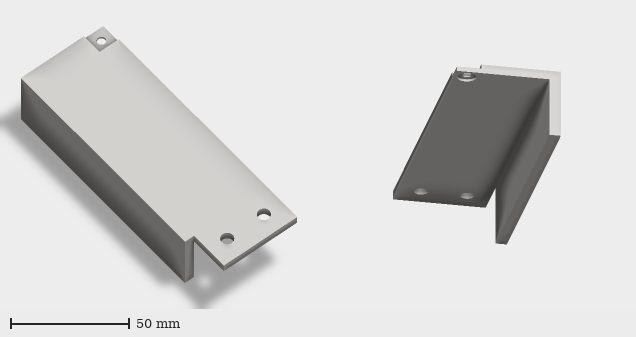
import cadquery as cq

length = 130.0
width = 45.0
height = 30.0

plate_thickness = 4.0
wall_thickness = 5.0
tab_length = 20.0
wall_length = length - tab_length

mount_diameter = 6.0
mount_spacing = 20.0
mount_back_offset = 10.0
mount_x = length - tab_length / 2

recess_side = 10.5
recess_depth = 2.0
recess_hole_diameter = 4.0
recess_hole_offset = 5.5

counterbore_diameter = 8.0
counterbore_depth = 1.0


def box(size_x, size_y, size_z, corner):
    """Box placed by its minimum corner."""
    return cq.Workplane("XY").box(size_x, size_y, size_z, centered=False).translate(corner)


def plate_hole(diameter, x, y, depth=plate_thickness):
    """Vertical cutter rising from the underside of the plate, through it by default."""
    bottom = height - plate_thickness
    return cq.Workplane("XY", origin=(x, y, bottom)).circle(diameter / 2).extrude(depth)


plate = box(length, width - wall_thickness, plate_thickness,
            (0, wall_thickness, height - plate_thickness))
wall = box(wall_length, wall_thickness, height, (0, 0, 0))
bracket = plate.union(wall)

recess = box(recess_side, recess_side, recess_depth,
             (0, width - recess_side, height - recess_depth))
bracket = bracket.cut(recess)

hole_x = recess_hole_offset
hole_y = width - recess_hole_offset
bracket = bracket.cut(plate_hole(recess_hole_diameter, hole_x, hole_y))
bracket = bracket.cut(plate_hole(counterbore_diameter, hole_x, hole_y, counterbore_depth))

for index in range(2):
    mount_y = width - mount_back_offset - index * mount_spacing
    bracket = bracket.cut(plate_hole(mount_diameter, mount_x, mount_y))

result = bracket